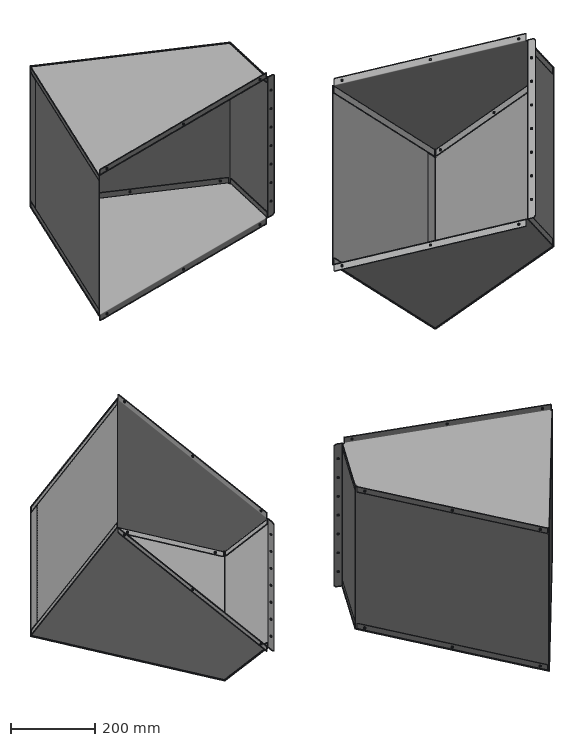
import cadquery as cq
import math


sheet = 1.3
inner_bend = 0.5
outer_bend = inner_bend + sheet
arc_middle = math.sqrt(0.5)

depth = 380.5
width = 532
total_height = 530.0
body_height = 492.0
half_height = total_height / 2
half_body = body_height / 2

wall_rim = 19.0
wall_y = width / 2 - wall_rim
wall_length = 146.0
tip_y = -173.5

flange_width = 19.5
flange_end_gap = 3.0
mouth_gap = 2.0
small_chamfer = 2.0
rim_chamfer = 5.0
lap_width = 30.0
lap_gap = 1.5
lap_half = half_body - flange_width - lap_gap
panel_setback = 1.5

cheek_rim_top_y = 241.5
cheek_rim_bottom_y = -263.0

hole_diameter = 5.5
hole_edge = 10.0
wall_rim_holes = 7
wall_rim_pitch = 65.0
cheek_rim_holes = 3
cheek_rim_pitch = 232.0
cheek_rim_first_y = -241.5
slant_holes_y = (226.0, 36.0, -154.5)


def direction(start, end):
    """Unit vector from one plan point to another."""
    length = math.dist(start, end)
    return ((end[0] - start[0]) / length, (end[1] - start[1]) / length)


def shifted(point, along, distance):
    """Plan point moved along a unit vector."""
    return (point[0] + along[0] * distance, point[1] + along[1] * distance)


def left_of(along):
    """Unit vector to the left, which is inward on a counterclockwise outline."""
    return (-along[1], along[0])


def meeting_point(p, p_along, q, q_along):
    """Plan point where two lines cross."""
    cross = p_along[0] * q_along[1] - p_along[1] * q_along[0]
    reach = ((q[0] - p[0]) * q_along[1] - (q[1] - p[1]) * q_along[0]) / cross
    return shifted(p, p_along, reach)


def inset(outline, distances):
    """Closed counterclockwise outline with each side moved inward by its own distance."""
    sides = []
    for i, start in enumerate(outline):
        along = direction(start, outline[(i + 1) % len(outline)])
        sides.append((shifted(start, left_of(along), distances[i]), along))
    return [meeting_point(*sides[i - 1], *sides[i]) for i in range(len(sides))]


def prism(outline, low, high):
    """Upright solid over a plan outline."""
    return cq.Workplane("XY").workplane(offset=low).polyline(outline).close().extrude(high - low)


outer_drop = width / 2 + tip_y
panel_angle = math.atan2(outer_drop, depth) - math.asin(sheet / math.hypot(outer_drop, depth))
panel_end_y = tip_y - depth * math.tan(panel_angle)

mouth_top = (0, wall_y)
knee = (-wall_length, wall_y)
tip = (-depth, tip_y)
mouth_bottom = (0, panel_end_y)

shell_outline = [mouth_top, knee, tip, mouth_bottom]
cheek_outline = inset(shell_outline, (sheet, sheet, 0, 0))
slant_along = direction(knee, tip)
panel_along = direction(tip, mouth_bottom)


def rim_drills(y_z_places):
    """Drills along X at the given Y and Z, through the mounting rims."""
    return (
        cq.Workplane("YZ").pushPoints(y_z_places)
        .circle(hole_diameter / 2).extrude(2 * sheet, both=True)
    )


def drill_slant_holes(body):
    """Holes square to the slanted wall, near both ends of the hood."""
    slope = slant_along[0] / slant_along[1]
    inward = left_of(slant_along)
    for y in slant_holes_y:
        x = knee[0] + (y - wall_y) * slope
        for z in (half_body - hole_edge, hole_edge - half_body):
            start = cq.Vector(*shifted((x, y), inward, -sheet), z)
            drill = cq.Solid.makeCylinder(hole_diameter / 2, 4 * sheet, start, cq.Vector(*inward, 0))
            body = body.cut(cq.Workplane(drill))
    return body


def cheek_flange(start, end, start_gap, end_gap):
    """Bend and flange folded down from the upper cheek along one side of its outline."""
    along = direction(start, end)
    inward = left_of(along)
    origin = shifted(start, along, start_gap)
    length = math.dist(start, end) - start_gap - end_gap
    side = cq.Plane(origin=(*origin, half_body), xDir=(*inward, 0), normal=(*along, 0))
    outer_middle = outer_bend * (1 - arc_middle)
    inner_middle = outer_bend - inner_bend * arc_middle
    flange = (
        cq.Workplane(side)
        .moveTo(outer_bend, 0)
        .threePointArc((outer_middle, -outer_middle), (0, -outer_bend))
        .lineTo(0, -flange_width)
        .lineTo(sheet, -flange_width)
        .lineTo(sheet, -outer_bend)
        .threePointArc((inner_middle, -inner_middle), (outer_bend, -sheet))
        .close()
        .extrude(length)
    )
    lower_edges = flange.faces("<Z").edges().vals()
    end_edges = [edge for edge in lower_edges if edge.Length() < 2 * sheet]
    return flange.newObject(end_edges).chamfer(small_chamfer)


def cheek_rim():
    """Drilled rim folded up from the upper cheek at the mouth, with its bend."""
    outer_middle = outer_bend * (1 - arc_middle)
    inner_middle = outer_bend - inner_bend * arc_middle
    bottom = half_body - sheet
    rim = (
        cq.Workplane("XZ", origin=(0, cheek_rim_top_y, 0))
        .moveTo(-outer_bend, bottom)
        .threePointArc((-outer_middle, bottom + outer_middle), (0, bottom + outer_bend))
        .lineTo(0, half_height)
        .lineTo(-sheet, half_height)
        .lineTo(-sheet, half_body + inner_bend)
        .threePointArc((-inner_middle, bottom + inner_middle), (-outer_bend, half_body))
        .close()
        .extrude(cheek_rim_top_y - cheek_rim_bottom_y)
        .faces("<Y").edges(">Z").chamfer(small_chamfer)
    )
    places = [
        (cheek_rim_first_y + i * cheek_rim_pitch, half_height - hole_edge)
        for i in range(cheek_rim_holes)
    ]
    return rim.cut(rim_drills(places))


def upper_cheek():
    """End plate with three flanges folded down and the mounting rim folded up."""
    plate_outline = inset(cheek_outline, (outer_bend,) * len(cheek_outline))
    cheek = prism(plate_outline, half_body - sheet, half_body)
    corner_top, corner_knee, corner_tip, corner_bottom = cheek_outline
    for start, end, start_gap, end_gap in (
        (corner_top, corner_knee, mouth_gap, flange_end_gap),
        (corner_knee, corner_tip, flange_end_gap, flange_end_gap),
        (corner_tip, corner_bottom, flange_end_gap, mouth_gap),
    ):
        cheek = cheek.union(cheek_flange(start, end, start_gap, end_gap))
    return drill_slant_holes(cheek.union(cheek_rim()))


def wall_mounting_rim(inner_y):
    """Drilled rim standing out from the +Y wall at the mouth, with chamfered corners."""
    rim = (
        prism([(0, inner_y), (0, width / 2), (-sheet, width / 2), (-sheet, inner_y)],
              -half_body, half_body)
        .edges("|X and >Y").chamfer(rim_chamfer)
    )
    first_z = -wall_rim_pitch * (wall_rim_holes - 1) / 2
    places = [(width / 2 - hole_edge, first_z + i * wall_rim_pitch) for i in range(wall_rim_holes)]
    return rim.cut(rim_drills(places))


def rear_wrap():
    """+Y wall with its mounting rim, slanted wall, and the lap strip folded behind the -Y panel."""
    inner_top, inner_knee, inner_tip, _ = cheek_outline
    fold_inside = inset(shell_outline, (sheet, sheet, sheet, 0))[2]
    lap_end = shifted(tip, panel_along, lap_width)
    lap_end_inside = shifted(lap_end, left_of(panel_along), sheet)
    wrap = (
        prism([mouth_top, knee, tip, lap_end, lap_end_inside, fold_inside, inner_knee, inner_top],
              -lap_half, lap_half)
        .edges("|Z and <X").fillet(outer_bend)
    )
    flat_outline = [mouth_top, knee, tip, inner_tip, inner_knee, inner_top]
    for low, high in ((lap_half, half_body), (-half_body, -lap_half)):
        wrap = wrap.union(prism(flat_outline, low, high))
    return drill_slant_holes(wrap.union(wall_mounting_rim(inner_top[1])))


def side_panel():
    """Flat panel over the -Y wall, outside the flanges and the lap strip."""
    start = shifted(tip, panel_along, panel_setback)
    outer_start = shifted(start, left_of(panel_along), -sheet)
    outer_end = meeting_point(outer_start, panel_along, mouth_bottom, (0, 1))
    square_end = (0, max(outer_end[1], -width / 2))
    return prism([start, outer_start, square_end, mouth_bottom], -half_body, half_body)


cheek_top = upper_cheek()
cheek_bottom = cheek_top.mirror("XY")
wrap = rear_wrap()
panel = side_panel()

result = cq.Compound.makeCompound([cheek_top.val(), cheek_bottom.val(), wrap.val(), panel.val()])